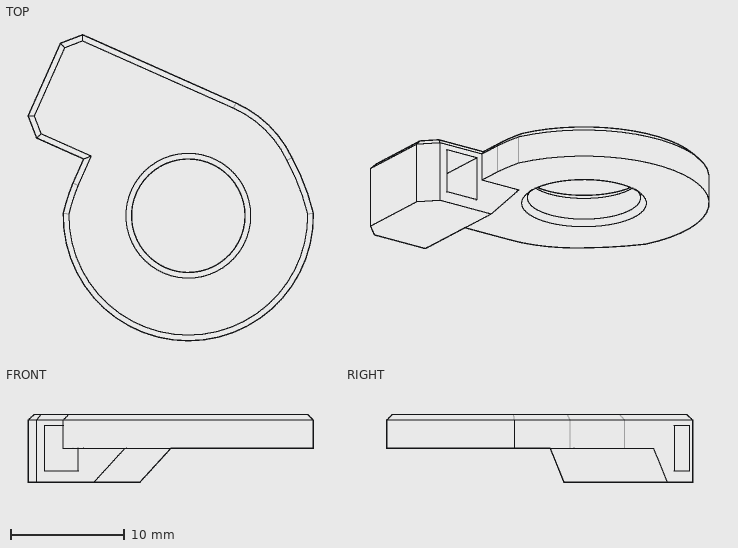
import cadquery as cq
import math

ring_radius = 11.05
hole_radius = 5.0
plate_thickness = 3.0
edge_chamfer = 0.5

arm_tilt = 24.0
arm_end = 16.5
arm_near_side = 0.8
arm_width = 9.99
arm_far_side = arm_near_side + arm_width
corner_cut = 1.48
total_height = 2 * plate_thickness
neck_along = -10.47
neck_across = -1.5

ramp_foot = -9.47
ramp_top = ramp_foot + total_height - plate_thickness

slot_width = 3.25
slot_height = 4.0
slot_floor = 1.0
slot_centre = -12.63

rim_end_height = 0.22
rim_end_x = math.sqrt(ring_radius**2 - rim_end_height**2)
blend_radius = 9.99
neck_turn = 16.0
shoulder_turn = 40.5
shoulder_along = -0.22
shoulder_blend = (10.36, 2.43)


def arm_point(along, across):
    """Plan position of a point given in the tilted arm directions."""
    tilt = math.radians(arm_tilt)
    x = along * math.cos(tilt) + across * math.sin(tilt)
    y = across * math.cos(tilt) - along * math.sin(tilt)
    return x, y


def neck_point(turn):
    """Point on the arc that leaves the neck line tangentially."""
    angle = math.radians(turn)
    return arm_point(
        neck_along + blend_radius * (1 - math.cos(angle)),
        neck_across - blend_radius * math.sin(angle),
    )


def shoulder_point(turn):
    """Point on the arc that leaves the far side of the arm tangentially."""
    angle = math.radians(turn)
    return arm_point(
        shoulder_along + blend_radius * math.sin(angle),
        arm_far_side - blend_radius * (1 - math.cos(angle)),
    )


arm_corners = [
    arm_point(-arm_end + corner_cut, arm_far_side),
    arm_point(-arm_end, arm_far_side - corner_cut),
    arm_point(-arm_end, arm_near_side + corner_cut),
    arm_point(-arm_end + corner_cut, arm_near_side),
]


def make_plate():
    """Ring and arm outline at the upper level."""
    outline = cq.Workplane("XY").workplane(offset=total_height - plate_thickness)
    outline = outline.moveTo(*arm_corners[0])
    for corner in arm_corners[1:]:
        outline = outline.lineTo(*corner)
    return (
        outline.lineTo(*arm_point(neck_along, arm_near_side))
        .lineTo(*arm_point(neck_along, neck_across))
        .threePointArc(neck_point(neck_turn / 2), (-rim_end_x, rim_end_height))
        .threePointArc((0, -ring_radius), (rim_end_x, rim_end_height))
        .threePointArc(shoulder_blend, shoulder_point(shoulder_turn))
        .threePointArc(shoulder_point(shoulder_turn / 2), shoulder_point(0))
        .close()
        .extrude(plate_thickness)
    )


def make_arm_block():
    """Full-depth arm below the plate, with its inner end ramped."""
    block = (
        cq.Workplane("XY")
        .polyline(
            arm_corners
            + [arm_point(ramp_top, arm_near_side), arm_point(ramp_top, arm_far_side)]
        )
        .close()
        .extrude(total_height - plate_thickness)
    )
    ramp_cut = (
        cq.Workplane("XZ")
        .polyline([(ramp_foot, 0), (ramp_top, 0), (ramp_top, total_height - plate_thickness)])
        .close()
        .extrude(-arm_far_side)
        .rotate((0, 0, 0), (0, 0, 1), -arm_tilt)
    )
    return block.cut(ramp_cut)


def make_slot():
    """Slot running right across the arm."""
    return (
        cq.Workplane("XY")
        .box(slot_width, arm_width, slot_height, centered=(True, False, False))
        .translate((slot_centre, arm_near_side, slot_floor))
        .rotate((0, 0, 0), (0, 0, 1), -arm_tilt)
    )


def make_hole():
    """Through hole with equal chamfers at its top and bottom rims."""
    rim_radius = hole_radius + edge_chamfer
    bottom = total_height - plate_thickness
    return (
        cq.Workplane("XZ")
        .moveTo(0, bottom)
        .lineTo(rim_radius, bottom)
        .lineTo(hole_radius, bottom + edge_chamfer)
        .lineTo(hole_radius, total_height - edge_chamfer)
        .lineTo(rim_radius, total_height)
        .lineTo(0, total_height)
        .close()
        .revolve(360, (0, 0, 0), (0, 1, 0))
    )


plate = make_plate().faces(">Z").edges().chamfer(edge_chamfer)
result = plate.union(make_arm_block()).cut(make_hole()).cut(make_slot())